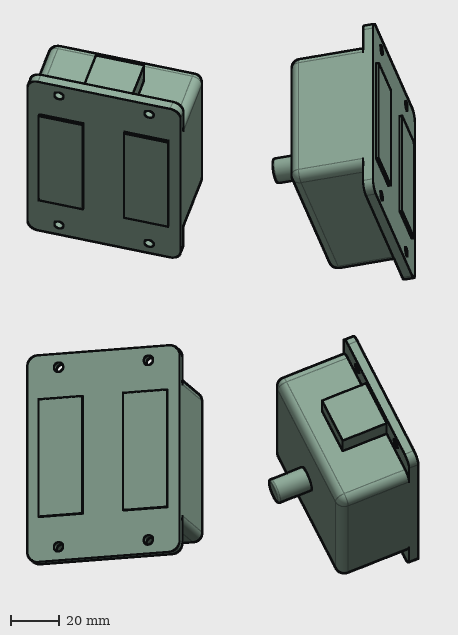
import cadquery as cq

width = 66.0
plate_height = 88.6
total_depth = 52.1

plate_thickness = 4.25
plate_corner_radius = 4.5
hole_diameter = 4.0
hole_spacing_x = 38.9
hole_spacing_z = 77.0

box_height = 64.2
box_depth = 31.7
box_edge_radius = 4.0

connector_width = 20.8
connector_depth = 20.0
connector_top_z = 41.0

shaft_diameter = 10.45
shaft_end_radius = 0.9

pad_width = 19.0
pad_height = 50.2
pad_thickness = 1.1
pad_spacing = 36.7

box_back_y = plate_thickness + box_depth
shaft_length = total_depth - pad_thickness - box_back_y


def block(size_x, size_y, size_z, front_y, bottom_z):
    """Block centred on X, starting at the given front and bottom."""
    return (
        cq.Workplane("XY")
        .box(size_x, size_y, size_z, centered=(True, False, False))
        .translate((0, front_y, bottom_z))
    )


def make_plate():
    """Rounded mounting plate with four screw holes."""
    plate = block(width, plate_thickness, plate_height, 0, -plate_height / 2)
    plate = plate.edges("|Y").fillet(plate_corner_radius)
    holes = (
        cq.Workplane("XZ")
        .rect(hole_spacing_x, hole_spacing_z, forConstruction=True)
        .vertices()
        .circle(hole_diameter / 2)
        .extrude(-plate_thickness)
    )
    return plate.cut(holes)


def make_box():
    """Box with rounded side corners and a rounded back rim."""
    box = block(width, box_depth, box_height, plate_thickness, -box_height / 2)
    return box.edges("|Y or >Y").fillet(box_edge_radius)


def make_connector():
    """Plain block standing on the top face of the box."""
    box_top_z = box_height / 2
    return block(
        connector_width, connector_depth, connector_top_z - box_top_z, plate_thickness, box_top_z
    )


def make_shaft():
    """Shaft stub with a rounded end."""
    return (
        cq.Workplane("XZ", origin=(0, box_back_y, 0))
        .circle(shaft_diameter / 2)
        .extrude(-shaft_length)
        .faces(">Y")
        .fillet(shaft_end_radius)
    )


def make_housing():
    """Plate, box, connector block and shaft as one solid."""
    return make_plate().union(make_box()).union(make_connector()).union(make_shaft())


def make_pad(center_x):
    """Flat pad lying against the front face of the plate."""
    pad = block(pad_width, pad_thickness, pad_height, -pad_thickness, -pad_height / 2)
    return pad.translate((center_x, 0, 0))


housing = make_housing()
pads = [make_pad(side * pad_spacing / 2) for side in (-1, 1)]

result = cq.Compound.makeCompound([housing.val(), *[pad.val() for pad in pads]])